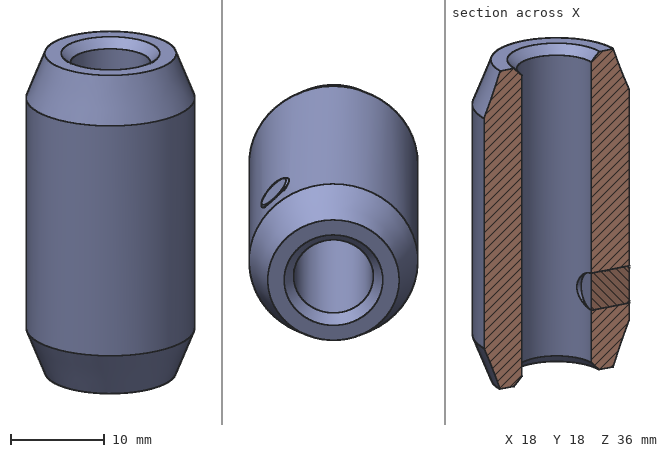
import cadquery as cq

length = 36.0
outer_diameter = 18.0
end_diameter = 14.0
taper_length = 5.0
bore_diameter = 8.5
bore_chamfer = 1.0

screw_diameter = 4.15
screw_chamfer = 0.2
screw_height = length / 4

outer_radius = outer_diameter / 2
end_radius = end_diameter / 2
bore_radius = bore_diameter / 2
screw_length = outer_radius - bore_radius


def screw_cylinder(depth):
    """Cylinder at the screw position, from the outermost +Y line inward by depth."""
    outer_end = cq.Vector(0, outer_radius, screw_height)
    inward = cq.Vector(0, -1, 0)
    return cq.Workplane(cq.Solid.makeCylinder(screw_diameter / 2, depth, outer_end, inward))


def make_sleeve():
    """Revolved tube with tapered ends, chamfered bore and a radial screw hole."""
    mouth_radius = bore_radius + bore_chamfer
    tube = (
        cq.Workplane("XZ")
        .moveTo(mouth_radius, 0)
        .lineTo(end_radius, 0)
        .lineTo(outer_radius, taper_length)
        .lineTo(outer_radius, length - taper_length)
        .lineTo(end_radius, length)
        .lineTo(mouth_radius, length)
        .lineTo(bore_radius, length - bore_chamfer)
        .lineTo(bore_radius, bore_chamfer)
        .close()
        .revolve(360, (0, 0, 0), (0, 1, 0))
    )
    return tube.cut(screw_cylinder(outer_radius))


def make_set_screw():
    """Flat-ended set screw in the radial hole, with a chamfer around its outer end."""
    return screw_cylinder(screw_length).faces(">Y").chamfer(screw_chamfer)


sleeve = make_sleeve().solids()
set_screw = make_set_screw()

result = cq.Compound.makeCompound([sleeve.val(), set_screw.val()])